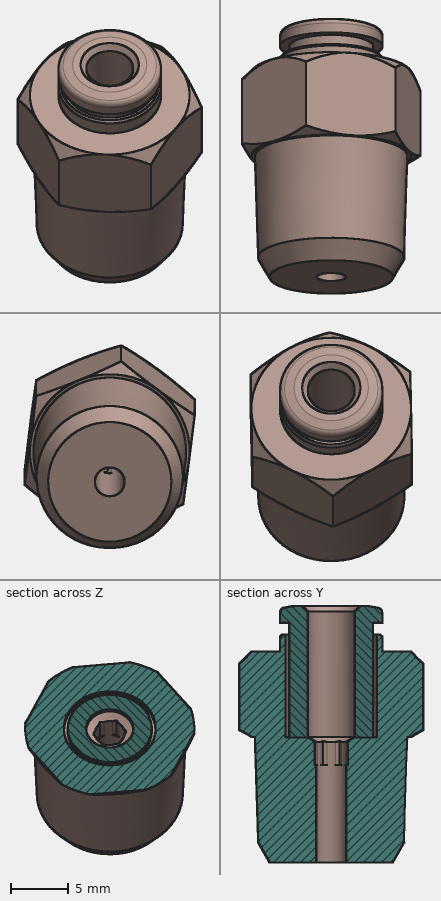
import cadquery as cq
import math

body_length = 20.0
hex_bottom = 11.0
hex_top = 18.5
overall_length = 22.5
release_gap = 1.0

corner_ratio = 1 / math.cos(math.radians(30))
hex_across_flats = 14.0
hex_across_corners = hex_across_flats * corner_ratio
top_chamfer_angle = 45.0
bottom_chamfer_angle = 30.0

taper_large_diameter = 13.4
taper_ratio = 1 / 16
tip_diameter = 10.8
tip_length = 1.77
taper_small_diameter = taper_large_diameter - taper_ratio * (hex_bottom - tip_length)

collar_diameter = 9.0
collar_chamfer = 0.2

button_bore_diameter = 8.0
button_seat_height = 11.0
passage_diameter = 2.6
socket_across_flats = 2.5
socket_across_corners = socket_across_flats * corner_ratio
socket_depth = 2.0
seat_cone_angle = 30.0

tube_diameter = 4.1
button_head_diameter = 9.0
button_neck_diameter = 7.4
button_face_diameter = 6.5
button_face_slope = 10.0
head_edge_radius = 0.5
tube_lead_in = 0.5


def slope(angle):
    return math.tan(math.radians(angle))


def revolve_profile(profile):
    """Turn a closed profile of (radius, height) about the Z axis."""
    return profile.close().revolve(360, (0, 0, 0), (0, 1, 0))


def hexagon_prism(across_corners, bottom, height):
    return cq.Workplane("XY").workplane(offset=bottom).polygon(6, across_corners).extrude(height)


def make_hexagon():
    """Hexagon with its corners turned to a cone at both ends."""
    flat_radius = hex_across_flats / 2
    corner_radius = hex_across_corners / 2
    corner_overhang = corner_radius - flat_radius
    corner_envelope = revolve_profile(
        cq.Workplane("XZ")
        .moveTo(0, hex_bottom)
        .lineTo(flat_radius, hex_bottom)
        .lineTo(corner_radius, hex_bottom + corner_overhang * slope(bottom_chamfer_angle))
        .lineTo(corner_radius, hex_top - corner_overhang * slope(top_chamfer_angle))
        .lineTo(flat_radius, hex_top)
        .lineTo(0, hex_top)
    )
    return hexagon_prism(hex_across_corners, hex_bottom, hex_top - hex_bottom).intersect(corner_envelope)


def make_tapered_end():
    return revolve_profile(
        cq.Workplane("XZ")
        .moveTo(0, 0)
        .lineTo(tip_diameter / 2, 0)
        .lineTo(taper_small_diameter / 2, tip_length)
        .lineTo(taper_large_diameter / 2, hex_bottom)
        .lineTo(0, hex_bottom)
    )


def make_collar():
    collar = cq.Workplane("XY").workplane(offset=hex_top).circle(collar_diameter / 2)
    return collar.extrude(body_length - hex_top).faces(">Z").edges().chamfer(collar_chamfer)


def make_passage():
    """Button bore, conical seat, hexagon socket and through passage."""
    bore_radius = button_bore_diameter / 2
    cone_radius = tube_diameter / 2
    passage_radius = passage_diameter / 2
    cone_bottom = button_seat_height - (cone_radius - passage_radius) * slope(seat_cone_angle)
    turned = revolve_profile(
        cq.Workplane("XZ")
        .moveTo(0, 0)
        .lineTo(passage_radius, 0)
        .lineTo(passage_radius, cone_bottom)
        .lineTo(cone_radius, button_seat_height)
        .lineTo(bore_radius, button_seat_height)
        .lineTo(bore_radius, body_length)
        .lineTo(0, body_length)
    )
    socket_bottom = cone_bottom - socket_depth
    socket = hexagon_prism(socket_across_corners, socket_bottom, button_seat_height - socket_bottom)
    return turned.union(socket)


def make_body():
    return make_tapered_end().union(make_hexagon()).union(make_collar()).cut(make_passage())


def make_button():
    """Sleeve that stands on the seat, with a rounded head and a tube lead-in."""
    tube_radius = tube_diameter / 2
    neck_radius = button_neck_diameter / 2
    head_radius = button_head_diameter / 2
    face_radius = button_face_diameter / 2
    head_bottom = body_length + release_gap

    arc_center_radius = head_radius - head_edge_radius
    tangent_angle = math.radians(90 - button_face_slope)
    arc_end_radius = arc_center_radius + head_edge_radius * math.cos(tangent_angle)
    arc_end_height = overall_length - (arc_end_radius - face_radius) * slope(button_face_slope)
    arc_center_height = arc_end_height - head_edge_radius * math.sin(tangent_angle)
    arc_middle = (
        arc_center_radius + head_edge_radius * math.cos(tangent_angle / 2),
        arc_center_height + head_edge_radius * math.sin(tangent_angle / 2),
    )
    return revolve_profile(
        cq.Workplane("XZ")
        .moveTo(tube_radius, button_seat_height)
        .lineTo(neck_radius, button_seat_height)
        .lineTo(neck_radius, head_bottom)
        .lineTo(head_radius, head_bottom)
        .lineTo(head_radius, arc_center_height)
        .threePointArc(arc_middle, (arc_end_radius, arc_end_height))
        .lineTo(face_radius, overall_length)
        .lineTo(tube_radius + tube_lead_in, overall_length)
        .lineTo(tube_radius, overall_length - tube_lead_in)
    )


body = make_body()
button = make_button()
result = cq.Compound.makeCompound([body.val(), button.val()])